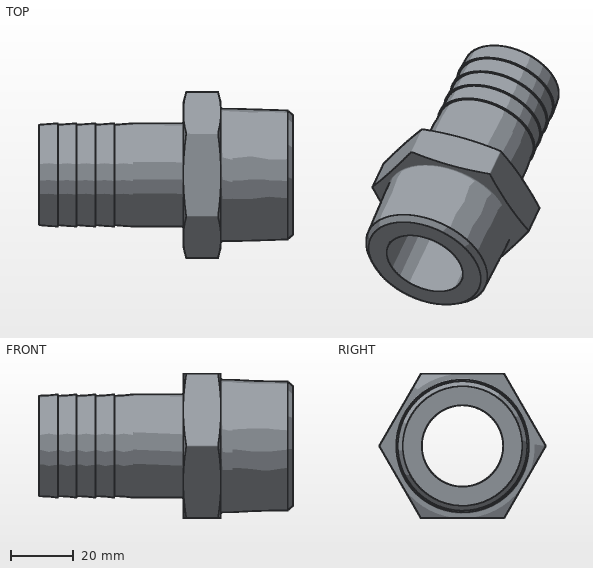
import cadquery as cq
import math

total_length = 81.0
hose_diameter = 33.0
barb_root_diameter = 32.1
barb_pitch = 6.0
barb_count = 5
barb_step_length = 0.2
tip_radius = 0.5

bore_diameter = 25.8
mouth_diameter = 27.5
mouth_depth = 1.0

hex_start = 46.0
hex_width = 12.0
hex_across_flats = 46.0
hex_edge_radius = 0.5
hex_chamfer_angle = 15.0

root_radius = 0.5

pipe_diameter = 42.3
straight_end = 61.7
taper_ratio = 1 / 16
end_chamfer_length = 1.8
end_diameter = 38.1

hex_end = hex_start + hex_width
hex_middle = hex_start + hex_width / 2
hex_across_corners = hex_across_flats / math.cos(math.pi / 6)
taper_end = total_length - end_chamfer_length
taper_end_diameter = pipe_diameter - (taper_end - straight_end) * taper_ratio


def revolve_profile(stations):
    """Revolve a solid about X from (x, diameter) stations, closed along the axis."""
    outline = [(x, diameter / 2) for x, diameter in stations]
    outline = [(stations[0][0], 0)] + outline + [(stations[-1][0], 0)]
    return cq.Workplane("XY").polyline(outline).close().revolve(360, (0, 0, 0), (1, 0, 0))


def make_turned_body():
    """Barbed hose tail with a rounded tip, plain neck and tapered pipe end."""
    stations = [(0, barb_root_diameter)]
    for barb in range(1, barb_count):
        stations.append((barb * barb_pitch, hose_diameter))
        stations.append((barb * barb_pitch + barb_step_length, barb_root_diameter))
    stations += [
        (barb_count * barb_pitch, hose_diameter),
        (hex_middle, hose_diameter),
        (hex_middle, pipe_diameter),
        (straight_end, pipe_diameter),
        (taper_end, taper_end_diameter),
        (total_length, end_diameter),
    ]
    return revolve_profile(stations).faces("<X").edges().fillet(tip_radius)


def make_hexagon():
    """Hexagon with rounded edges and a shallow cone turned on both faces."""
    prism = (
        cq.Workplane("YZ", origin=(hex_start, 0, 0))
        .polygon(6, hex_across_corners)
        .extrude(hex_width)
        .edges("|X")
        .fillet(hex_edge_radius)
    )
    corner_rise = (hex_across_corners - hex_across_flats) / 2
    cone_depth = corner_rise * math.tan(math.radians(hex_chamfer_angle))
    double_cone = revolve_profile([
        (hex_start, hex_across_flats),
        (hex_start + cone_depth, hex_across_corners),
        (hex_end - cone_depth, hex_across_corners),
        (hex_end, hex_across_flats),
    ])
    return prism.intersect(double_cone)


def fillet_shoulder(body, shoulder_x, diameter):
    """Fillet the circle where a round section meets a hexagon face."""
    tolerance = 0.01

    def is_shoulder(edge):
        if edge.geomType() != "CIRCLE":
            return False
        right_size = abs(edge.radius() - diameter / 2) < tolerance
        right_place = abs(edge.Center().x - shoulder_x) < tolerance
        return right_size and right_place

    return body.edges().filter(is_shoulder).fillet(root_radius)


def make_bore():
    """Through bore with a countersunk mouth at the hose end."""
    return revolve_profile([
        (0, mouth_diameter),
        (mouth_depth, bore_diameter),
        (total_length, bore_diameter),
    ])


body = make_turned_body().union(make_hexagon())
body = fillet_shoulder(body, hex_start, hose_diameter)
body = fillet_shoulder(body, hex_end, pipe_diameter)
result = body.cut(make_bore())